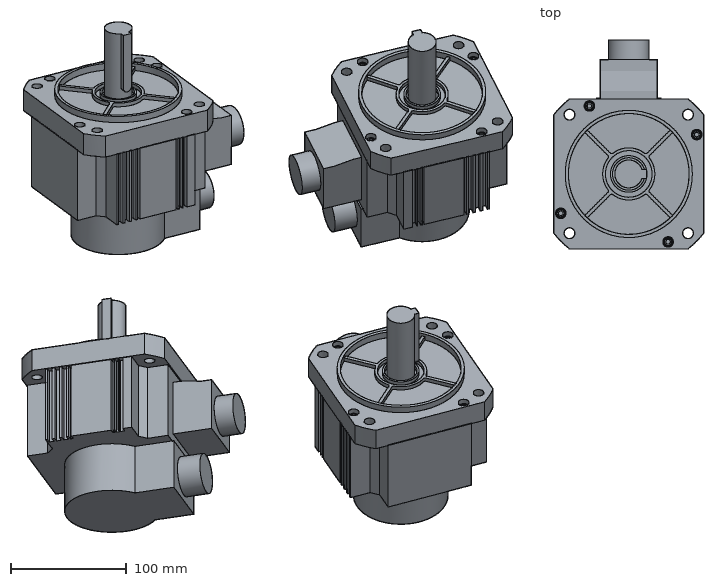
import cadquery as cq
import math

total_height = 198.0
body_bottom = 45.0
flange_bottom = 113.3
flange_top = 133.5
pilot_top = 139.4

flange_width = 130.0
flange_corner_radius = 82.8
pilot_radius = 55.0
mount_hole_radius = 4.5
mount_hole_offset = 51.3

recess_radius = 52.3
rib_top = 136.6
pocket_floor = 133.0
rib_width = 3.0
rib_root_fillet = 1.5
hub_radius = 22.5
hub_bore_radius = 20.2
hub_floor = 133.0
lip_outer_radius = 15.8
lip_inner_radius = 14.0
lip_top = 136.6
seal_floor = 133.0

shaft_radius = 12.0
key_width = 8.1
key_reach = 15.5
key_bottom = 143.0

screw_offsets = (34.0, 58.8)
screw_pit_radius = 4.5
screw_pit_depth = 8.0
screw_head_radius = 3.8
screw_head_chamfer = 0.5
screw_head_depth = 3.5
screw_socket_across_corners = 4.4
screw_socket_depth = 2.4

body_width = 128.1
notch_inner = 39.2
notch_chamfer = 6.3
slot_depth = 5.0
side_slots = [
    (-37.5, -33.3),
    (-30.9, -26.7),
    (-24.4, -20.2),
    (-18.2, -16.0),
    (20.4, 22.2),
    (23.5, 26.5),
    (27.1, 31.0),
]

encoder_radius = 41.0
encoder_box_width = 55.5
encoder_box_back = 65.5

power_box_width = 49.5
power_box_back = 99.0
power_box_overlap = 2.0
power_box_bottom = 53.0
power_box_top = 103.0
power_box_low_top = 100.2
slope_start = 71.7
slope_end = 88.7

plug_radius = 17.6
power_plug_height = 76.5
total_depth = 181.0
power_plug_back = total_depth - flange_width / 2
encoder_plug_height = 23.2
encoder_plug_back = 86.0


def disc(radius, bottom, top):
    """Solid cylinder on the motor axis between two levels."""
    return cq.Workplane("XY").workplane(offset=bottom).circle(radius).extrude(top - bottom)


def block(x_range, y_range, z_range):
    """Rectangular block between the given limits."""
    sizes = [high - low for low, high in (x_range, y_range, z_range)]
    corner = (x_range[0], y_range[0], z_range[0])
    return cq.Workplane("XY").box(*sizes, centered=False).translate(corner)


def make_pockets():
    """Four pockets between the hub and the pilot ring, parted by diagonal ribs."""
    depth = rib_top - pocket_floor
    web = disc(hub_radius, pocket_floor, rib_top)
    for angle in (45, 135):
        rib = cq.Workplane("XY").box(2 * recess_radius, rib_width, depth)
        rib = rib.translate((0, 0, pocket_floor + depth / 2))
        web = web.union(rib.rotate((0, 0, 0), (0, 0, 1), angle))
    pockets = disc(recess_radius, pocket_floor, rib_top).cut(web)
    root = hub_radius + rib_width
    roots = cq.selectors.BoxSelector((-root, -root, pocket_floor), (root, root, rib_top))
    return pockets.edges("|Z").edges(roots).fillet(rib_root_fillet)


def make_flange():
    """Flange plate with pilot ring, ribbed recess, hub bores and mounting holes."""
    height = flange_top - flange_bottom
    half = flange_width / 2
    flange = block((-half, half), (-half, half), (flange_bottom, flange_top))
    flange = flange.intersect(disc(flange_corner_radius, flange_bottom, flange_top))
    flange = flange.union(disc(pilot_radius, flange_top, pilot_top))
    flange = flange.cut(disc(recess_radius, rib_top, pilot_top))
    flange = flange.cut(make_pockets())
    flange = flange.cut(disc(hub_bore_radius, hub_floor, rib_top))
    flange = flange.union(disc(lip_outer_radius, hub_floor, lip_top))
    flange = flange.cut(disc(lip_inner_radius, seal_floor, lip_top))
    holes = (
        cq.Workplane("XY")
        .workplane(offset=flange_bottom)
        .rect(2 * mount_hole_offset, 2 * mount_hole_offset, forConstruction=True)
        .vertices()
        .circle(mount_hole_radius)
        .extrude(height)
    )
    return flange.cut(holes)


def screw_void():
    """Space around and inside one sunken screw head, its top level with the flange top."""
    pit = cq.Workplane("XY").circle(screw_pit_radius).extrude(-screw_pit_depth)
    head = (
        cq.Workplane("XY")
        .workplane(offset=-screw_pit_depth)
        .circle(screw_head_radius)
        .extrude(screw_pit_depth - screw_head_depth)
        .faces(">Z")
        .chamfer(screw_head_chamfer)
    )
    socket = (
        cq.Workplane("XY")
        .workplane(offset=-screw_head_depth)
        .polygon(6, screw_socket_across_corners)
        .extrude(-screw_socket_depth)
    )
    return pit.cut(head.cut(socket))


def make_body():
    """Square motor body with stepped corners and cooling slots in both X sides."""
    half = body_width / 2
    inner = notch_inner
    chamfered = notch_inner + notch_chamfer
    corner = [(half, inner), (chamfered, inner), (inner, chamfered), (inner, half)]
    outline = []
    for quarter in range(4):
        angle = quarter * math.pi / 2
        c = math.cos(angle)
        s = math.sin(angle)
        outline += [(c * x - s * y, s * x + c * y) for x, y in corner]
    height = flange_bottom - body_bottom
    body = cq.Workplane("XY").workplane(offset=body_bottom).polyline(outline).close().extrude(height)
    for low, high in side_slots:
        for x_range in ((-half, slot_depth - half), (half - slot_depth, half)):
            body = body.cut(block(x_range, (low, high), (body_bottom, flange_bottom)))
    return body


def make_plug(center_height, start, back):
    """Round connector plug along +Y."""
    plane = cq.Workplane("XZ", origin=(0, start, center_height))
    return plane.circle(plug_radius).extrude(start - back)


def make_encoder():
    """Round encoder housing with a square connector block behind it."""
    half = encoder_box_width / 2
    housing = disc(encoder_radius, 0, body_bottom)
    housing = housing.union(block((-half, half), (0, encoder_box_back), (0, body_bottom)))
    return housing.union(make_plug(encoder_plug_height, encoder_box_back, encoder_plug_back))


def make_power_connector():
    """Connector housing on the back of the body, its top sloping down towards the plug."""
    front = body_width / 2 - power_box_overlap
    side = (
        cq.Workplane("YZ")
        .moveTo(front, power_box_bottom)
        .lineTo(power_box_back, power_box_bottom)
        .lineTo(power_box_back, power_box_low_top)
        .lineTo(slope_end, power_box_low_top)
        .lineTo(slope_start, power_box_top)
        .lineTo(front, power_box_top)
        .close()
        .extrude(power_box_width / 2, both=True)
    )
    return side.union(make_plug(power_plug_height, power_box_back, power_plug_back))


def make_shaft():
    """Shaft with a key that runs out at the shaft end and is rounded at its lower end."""
    half = key_width / 2
    shaft = disc(shaft_radius, seal_floor, total_height)
    key = (
        cq.Workplane("YZ")
        .moveTo(-half, total_height)
        .lineTo(-half, key_bottom + half)
        .threePointArc((0, key_bottom), (half, key_bottom + half))
        .lineTo(half, total_height)
        .close()
        .extrude(key_reach)
    )
    return shaft.union(key)


result = make_encoder().union(make_body()).union(make_power_connector())
result = result.union(make_flange())
for quarter in range(4):
    screw = screw_void().translate((-screw_offsets[0], screw_offsets[1], flange_top))
    result = result.cut(screw.rotate((0, 0, 0), (0, 0, 1), 90 * quarter))
result = result.union(make_shaft())